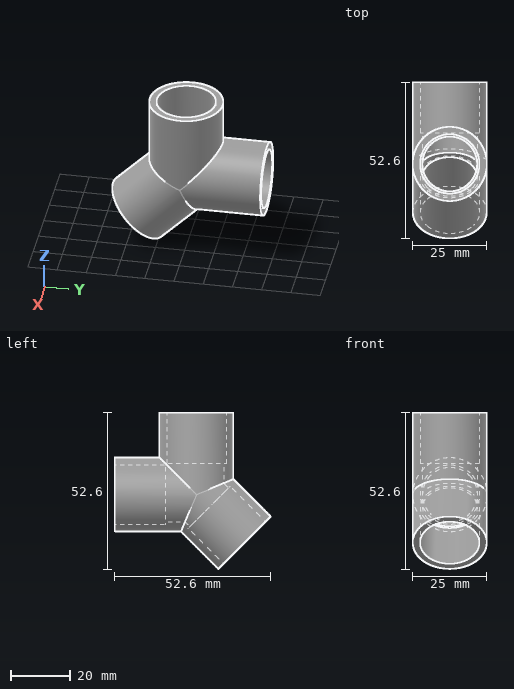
import cadquery as cq
import math

overall_size = 52.6
outer_diameter = 25.0
socket_diameter = 20.0
bore_diameter = 18.4
socket_depth = 17.0
straight_length = 27.5
slanting_angle = 225

outer_radius = outer_diameter / 2
slant_reach = overall_size - straight_length
slanting_length = slant_reach * math.sqrt(2) - outer_radius

arms = [
    (0, straight_length),
    (90, straight_length),
    (slanting_angle, slanting_length),
]


def rod(angle, start, end, diameter):
    """Cylinder along an arm's axis, between two distances from the junction centre."""
    direction = cq.Vector(0, math.cos(math.radians(angle)), math.sin(math.radians(angle)))
    solid = cq.Solid.makeCylinder(diameter / 2, end - start, direction * start, direction)
    return cq.Workplane(solid)


def half_space(angle):
    """Block larger than the part, lying on the side of the junction centre that the angle points to."""
    size = 2 * overall_size
    block = cq.Workplane("XY").box(size, size, size).translate((0, size / 2, 0))
    return block.rotate((0, 0, 0), (1, 0, 0), angle)


def mitred_arm(angle, length, diameter):
    """Arm cut where it meets its neighbours, on the planes bisecting the angles between them."""
    arm = rod(angle, -outer_diameter, length, diameter)
    for other_angle, _ in arms:
        if other_angle != angle:
            between = (other_angle - angle + 180) % 360 - 180
            normal_angle = angle + between / 2 - math.copysign(90, between)
            arm = arm.intersect(half_space(normal_angle))
    return arm


def junction(diameter):
    """Three mitred arms of one diameter joined at the centre."""
    body = cq.Workplane()
    for angle, length in arms:
        body = body.union(mitred_arm(angle, length, diameter))
    return body


result = junction(outer_diameter).cut(junction(bore_diameter))

for angle, length in arms:
    result = result.cut(rod(angle, length - socket_depth, length, socket_diameter))